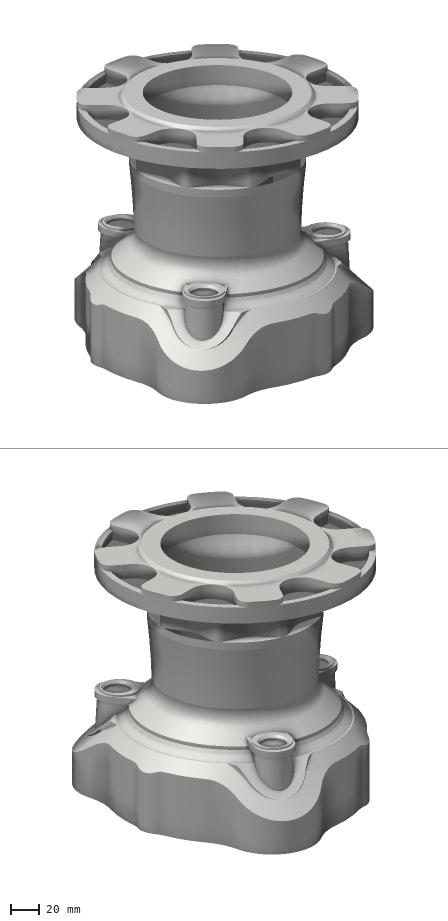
import cadquery as cq
import math

TOTAL_HEIGHT = 191.3
PAD_TOP = 189.0
RIM_TOP = 184.8
POCKET_FLOOR = 177.8
FLANGE_BOTTOM = 172.5
NECK_TOP = 170.2
COLLAR_BOTTOM = 141.8
WAIST_TOP = 135.9
WAIST_BOTTOM = 89.4
SHOULDER_TOP = 77.8
SHOULDER_BOTTOM = 67.2
STEP_TOP = 64.5
STEP_BOTTOM = 62.2
BASE_TOP = 58.0

FLANGE_RADIUS = 200.0 / 2
FACE_RING_TOP_RADIUS = 66.7
FACE_RING_RADIUS = 69.4
RIM_INNER_RADIUS = 95.0
PAD_COUNT = 8
PAD_CORNER_RADIUS = 7.8
POCKET_BOTTOM_RADIUS = 69.8
POCKET_RADIUS = 16.3
POCKET_OVERRUN = 13.0

COLLAR_RADIUS = 125.2 / 2
RIB_BASE_RADIUS = 52.2
RIB_EDGE_RADIUS = 60.9
RIB_BASE_HALF_WIDTH = 15.2
RIB_TIP_HALF_WIDTH = 4.3
RIB_VALLEY_RADIUS = 53.3
NECK_CORE_RADIUS = 51.0
WAIST_RADIUS = 59.4
WAIST_MIDDLE_RADIUS = 60.5
SHOULDER_TOP_RADIUS = 63.0
STEP_RADIUS = 75.5
STEP_BOTTOM_RADIUS = 77.5
BODY_FOOT_RADIUS = 83.3

BORE_RADIUS = 79.0 / 2
COUNTERBORE_RADIUS = 106.0 / 2
COUNTERBORE_DEPTH = 15.2
BORE_TAPER_LENGTH = 30.0

LOBE_COUNT = 3
FIRST_LOBE_ANGLE = 90.0
BASE_RADIUS = 93.7
LOBE_CENTER = 82.0
LOBE_RADIUS = 35.5
LOBE_BLEND_RADIUS = 47.8
BUMP_CENTER = 79.4
BUMP_RADIUS = 17.5
BUMP_BLEND_RADIUS = 17.5
BASE_TOP_RADIUS = 84.5
LEDGE_INSET = 11.5

BOSS_CENTER = 86.3
BOSS_FOOT = 32.6
BOSS_FOOT_RADIUS = 15.2
BOSS_DRAFT = 3.2
CAP_BOTTOM = SHOULDER_BOTTOM
CAP_TOP = 72.2
CAP_RADIUS = 15.2
CAP_HOLE_CHAMFER = 1.7
CAP_HOLE_CENTER = 85.2
CAP_RING_CENTER = 83.3
CAP_RING_HEIGHT = 1.5
CAP_RING_RADIUS = 14.5
CAP_HOLE_RADIUS = 9.8
CAP_HOLE_DEPTH = 3.7
BOSS_ROOT = 60.9


def polar(radius, angle):
    """Point at a radius and an angle in degrees about the main axis."""
    return (radius * math.cos(math.radians(angle)), radius * math.sin(math.radians(angle)))


def turned(x, y, angle):
    """Point (x, y) turned by an angle in degrees about the main axis."""
    cosine, sine = polar(1, angle)
    return (x * cosine - y * sine, x * sine + y * cosine)


def around(solid, count, first_angle=0.0):
    """Union of copies of a solid spaced evenly about the main axis."""
    copies = None
    for i in range(count):
        copy = solid.rotate((0, 0, 0), (0, 0, 1), first_angle + i * 360.0 / count)
        copies = copy if copies is None else copies.union(copy)
    return copies


def make_body():
    """Flange, waist and shoulder as one turned shape."""
    waist_middle = (WAIST_TOP + WAIST_BOTTOM) / 2
    return (
        cq.Workplane("XZ")
        .moveTo(0, 0)
        .lineTo(BODY_FOOT_RADIUS, 0)
        .lineTo(BODY_FOOT_RADIUS, BASE_TOP)
        .lineTo(STEP_BOTTOM_RADIUS, STEP_BOTTOM)
        .lineTo(STEP_RADIUS, STEP_TOP)
        .lineTo(STEP_RADIUS, SHOULDER_BOTTOM)
        .lineTo(SHOULDER_TOP_RADIUS, SHOULDER_TOP)
        .tangentArcPoint((WAIST_RADIUS, WAIST_BOTTOM), relative=False)
        .threePointArc((WAIST_MIDDLE_RADIUS, waist_middle), (COLLAR_RADIUS, WAIST_TOP))
        .lineTo(COLLAR_RADIUS, COLLAR_BOTTOM)
        .lineTo(NECK_CORE_RADIUS, COLLAR_BOTTOM)
        .lineTo(NECK_CORE_RADIUS, NECK_TOP)
        .lineTo(FLANGE_RADIUS, FLANGE_BOTTOM)
        .lineTo(FLANGE_RADIUS, PAD_TOP)
        .lineTo(FACE_RING_RADIUS, PAD_TOP)
        .lineTo(FACE_RING_TOP_RADIUS, TOTAL_HEIGHT)
        .lineTo(0, TOTAL_HEIGHT)
        .close()
        .revolve(360, (0, 0), (0, 1))
    )


def make_pockets():
    """Round-bottomed pockets that leave eight pads and an outer rim on the flange face."""
    pitch = 360.0 / PAD_COUNT
    pocket_center = POCKET_BOTTOM_RADIUS + POCKET_RADIUS
    normal_x, normal_y = polar(POCKET_RADIUS, 90 + pitch / 2)
    side_start = (pocket_center + normal_x, normal_y)
    pad_half_width = -turned(*side_start, -pitch / 2)[1]
    corner_across = pad_half_width - PAD_CORNER_RADIUS
    corner_distance = FLANGE_RADIUS - PAD_CORNER_RADIUS
    corner_turn = math.degrees(math.asin(corner_across / corner_distance))
    corner_along = corner_distance * math.cos(math.radians(corner_turn))
    middle_x, middle_y = polar(PAD_CORNER_RADIUS, (90 + corner_turn) / 2)

    side_end = turned(corner_along, -pad_half_width, pitch / 2)
    corner_middle = turned(corner_along + middle_x, -corner_across - middle_y, pitch / 2)
    corner_end = polar(FLANGE_RADIUS, pitch / 2 - corner_turn)
    outside = polar(FLANGE_RADIUS + POCKET_OVERRUN, pitch / 2 - corner_turn)

    def mirrored(point):
        return (point[0], -point[1])

    pocket = (
        cq.Workplane("XY")
        .workplane(offset=POCKET_FLOOR)
        .moveTo(*mirrored(outside))
        .lineTo(*mirrored(corner_end))
        .threePointArc(mirrored(corner_middle), mirrored(side_end))
        .lineTo(*mirrored(side_start))
        .threePointArc((POCKET_BOTTOM_RADIUS, 0), side_start)
        .lineTo(*side_end)
        .threePointArc(corner_middle, corner_end)
        .lineTo(*outside)
        .close()
        .extrude(PAD_TOP - POCKET_FLOOR)
    )
    rim = (
        cq.Workplane("XY")
        .circle(FLANGE_RADIUS + 2 * POCKET_OVERRUN)
        .circle(RIM_INNER_RADIUS)
        .extrude(RIM_TOP)
    )
    return around(pocket.cut(rim), PAD_COUNT)


def make_neck():
    """Neck with eight rounded ribs and shallow hollows between them."""
    pitch = 360.0 / PAD_COUNT
    outline = cq.Workplane("XY").workplane(offset=COLLAR_BOTTOM)
    outline = outline.moveTo(*turned(RIB_BASE_RADIUS, -RIB_BASE_HALF_WIDTH, 0))
    for i in range(PAD_COUNT):
        turn = i * pitch
        outline = (
            outline.lineTo(*turned(RIB_EDGE_RADIUS, -RIB_TIP_HALF_WIDTH, turn))
            .threePointArc(
                polar(COLLAR_RADIUS, turn), turned(RIB_EDGE_RADIUS, RIB_TIP_HALF_WIDTH, turn)
            )
            .lineTo(*turned(RIB_BASE_RADIUS, RIB_BASE_HALF_WIDTH, turn))
            .threePointArc(
                polar(RIB_VALLEY_RADIUS, turn + pitch / 2),
                turned(RIB_BASE_RADIUS, -RIB_BASE_HALF_WIDTH, turn + pitch),
            )
        )
    return outline.close().extrude(FLANGE_BOTTOM - COLLAR_BOTTOM)


def blend_points(base_radius, center, radius, blend_radius):
    """Start, middle and end of a concave blend between a lobe and the base circle.

    Each point is a (radius, angle) pair with the angle taken from the lobe axis.
    """
    blend_distance = base_radius + blend_radius
    reach = radius + blend_radius
    cosine = (center**2 + blend_distance**2 - reach**2) / (2 * center * blend_distance)
    angle = math.acos(cosine)
    share = radius / reach
    x = center + share * (blend_distance * math.cos(angle) - center)
    y = share * blend_distance * math.sin(angle)
    blend_x = blend_distance * math.cos(angle)
    blend_y = blend_distance * math.sin(angle)
    to_lobe = math.atan2(y - blend_y, x - blend_x)
    to_base = math.atan2(-blend_y, -blend_x)
    middle = (to_lobe % math.tau + to_base % math.tau) / 2
    mid_x = blend_x + blend_radius * math.cos(middle)
    mid_y = blend_y + blend_radius * math.sin(middle)
    return (
        (math.hypot(x, y), math.degrees(math.atan2(y, x))),
        (math.hypot(mid_x, mid_y), math.degrees(math.atan2(mid_y, mid_x))),
        (base_radius, math.degrees(angle)),
    )


def base_prism(inset, height):
    """Prism on the base outline moved inward by the inset."""
    base_radius = BASE_RADIUS - inset
    lobe = (LOBE_CENTER, LOBE_RADIUS - inset, LOBE_BLEND_RADIUS + inset)
    bump = (BUMP_CENTER, BUMP_RADIUS - inset, BUMP_BLEND_RADIUS + inset)
    pitch = 180.0 / LOBE_COUNT
    turns = [FIRST_LOBE_ANGLE + i * pitch for i in range(2 * LOBE_COUNT)]
    outline = cq.Workplane("XY")
    for i, turn in enumerate(turns):
        shape, following = (lobe, bump) if i % 2 == 0 else (bump, lobe)
        tip, middle, foot = blend_points(base_radius, *shape)
        next_foot = blend_points(base_radius, *following)[2]
        if i == 0:
            outline = outline.moveTo(*polar(foot[0], turn - foot[1]))
        gap_middle = (turn + foot[1] + turn + pitch - next_foot[1]) / 2
        outline = (
            outline.threePointArc(polar(middle[0], turn - middle[1]), polar(tip[0], turn - tip[1]))
            .threePointArc(polar(shape[0] + shape[1], turn), polar(tip[0], turn + tip[1]))
            .threePointArc(polar(middle[0], turn + middle[1]), polar(foot[0], turn + foot[1]))
            .threePointArc(
                polar(base_radius, gap_middle), polar(base_radius, turn + pitch - next_foot[1])
            )
        )
    return outline.close().extrude(height)


def make_base():
    """Lobed base under a 45 degree cone, with a flat slope in front of each boss."""
    cone_reach = BASE_TOP_RADIUS + BASE_TOP
    section = [(0, 0), (cone_reach, 0), (BASE_TOP_RADIUS, BASE_TOP), (0, BASE_TOP)]
    cone = cq.Workplane("XZ").polyline(section).close().revolve(360, (0, 0), (0, 1))
    wedge = cq.Workplane("XZ").polyline(section).close().extrude(LOBE_RADIUS, both=True)
    slopes = around(wedge, LOBE_COUNT, FIRST_LOBE_ANGLE).intersect(base_prism(LEDGE_INSET, BASE_TOP))
    return base_prism(0, BASE_TOP).intersect(cone).union(slopes)


def finger(bottom, height, radius, taper=0.0):
    """Round-ended block that runs from the body out past the boss axis."""
    return (
        cq.Workplane("XY")
        .workplane(offset=bottom)
        .moveTo(BOSS_ROOT, -radius)
        .lineTo(BOSS_CENTER, -radius)
        .threePointArc((BOSS_CENTER + radius, 0), (BOSS_CENTER, radius))
        .lineTo(BOSS_ROOT, radius)
        .close()
        .extrude(height, taper=taper)
    )


def make_bosses():
    """Drafted bosses with a wider cap and a shallow ringed hole."""
    ring_top = CAP_TOP + CAP_RING_HEIGHT
    ring = (
        cq.Workplane("XY", origin=(CAP_RING_CENTER, 0, CAP_TOP))
        .circle(CAP_RING_RADIUS)
        .extrude(CAP_RING_HEIGHT)
    )
    hole = (
        cq.Workplane("XZ", origin=(CAP_HOLE_CENTER, 0, ring_top))
        .lineTo(CAP_HOLE_RADIUS + CAP_HOLE_CHAMFER, 0)
        .lineTo(CAP_HOLE_RADIUS, -CAP_HOLE_CHAMFER)
        .lineTo(CAP_HOLE_RADIUS, -CAP_HOLE_DEPTH)
        .lineTo(0, -CAP_HOLE_DEPTH)
        .close()
        .revolve(360, (0, 0), (0, 1))
    )
    boss = (
        finger(BOSS_FOOT, CAP_BOTTOM - BOSS_FOOT, BOSS_FOOT_RADIUS, BOSS_DRAFT)
        .union(finger(CAP_BOTTOM, CAP_TOP - CAP_BOTTOM, CAP_RADIUS))
        .union(ring)
        .cut(hole)
    )
    return around(boss, LOBE_COUNT, FIRST_LOBE_ANGLE)


def make_bore():
    """Through bore that widens by a cone into the counterbore."""
    taper_top = TOTAL_HEIGHT - COUNTERBORE_DEPTH
    section = [
        (0, 0),
        (BORE_RADIUS, 0),
        (BORE_RADIUS, taper_top - BORE_TAPER_LENGTH),
        (COUNTERBORE_RADIUS, taper_top),
        (COUNTERBORE_RADIUS, TOTAL_HEIGHT),
        (0, TOTAL_HEIGHT),
    ]
    return cq.Workplane("XZ").polyline(section).close().revolve(360, (0, 0), (0, 1))


result = (
    make_body()
    .union(make_neck())
    .union(make_base())
    .union(make_bosses())
    .cut(make_bore())
    .cut(make_pockets())
)